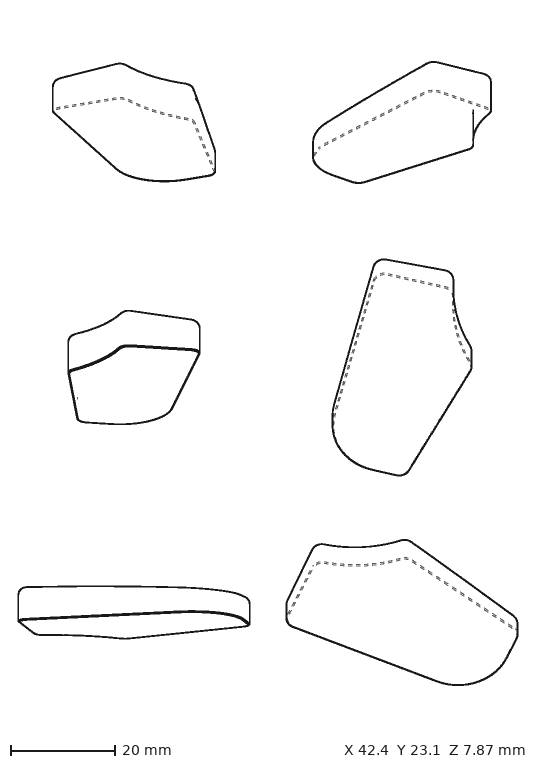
import cadquery as cq
import math

length = 42.4
left_height = 15.5
right_height = 16.6
apex_x = 15.65
rear_slope = 14
concave_radius = 27.15
large_corner_radius = 10.18
small_corner_radius = 2.1

front_left_height = 6.57
crown_radius = 597.85
crown_center_x = -12.7
tilt = 4.9
top_fillet = 1.5
bottom_chamfer = 0.2
margin = 8.5
blank_height = 12.7

apex_y = right_height + (length - apex_x) * math.tan(math.radians(rear_slope))


def crown_z(x):
    """Height of the untilted crown arc at x."""
    center_z = front_left_height - math.sqrt(crown_radius**2 - crown_center_x**2)
    return center_z + math.sqrt(crown_radius**2 - (x - crown_center_x) ** 2)


def rounded_blank():
    """Straight-walled block with rounded upright corners."""
    block = (
        cq.Workplane("XY")
        .lineTo(length, 0)
        .lineTo(length, right_height)
        .lineTo(apex_x, apex_y)
        .radiusArc((0, left_height), concave_radius)
        .close()
        .extrude(blank_height)
    )
    front_right = cq.selectors.NearestToPointSelector((length, 0, blank_height / 2))
    block = block.edges(front_right).fillet(large_corner_radius)
    for x, y in [(0, 0), (length, right_height), (apex_x, apex_y), (0, left_height)]:
        corner = cq.selectors.NearestToPointSelector((x, y, blank_height / 2))
        block = block.edges("|Z").edges(corner).fillet(small_corner_radius)
    return block


def space_below_crown():
    """Body bounded above by the tilted cylindrical crown."""
    start = -margin
    middle = length / 2
    end = length + margin
    depth = apex_y + 2 * margin
    return (
        cq.Workplane("XZ", origin=(0, apex_y + margin, 0))
        .moveTo(start, -margin)
        .lineTo(start, crown_z(start))
        .threePointArc((middle, crown_z(middle)), (end, crown_z(end)))
        .lineTo(end, -margin)
        .close()
        .extrude(depth)
        .rotate((0, 0, 0), (1, 0, 0), tilt)
    )


body = rounded_blank().intersect(space_below_crown())
body = body.faces("<Z").edges().chamfer(bottom_chamfer)
result = body.faces(">Z").edges().fillet(top_fillet)